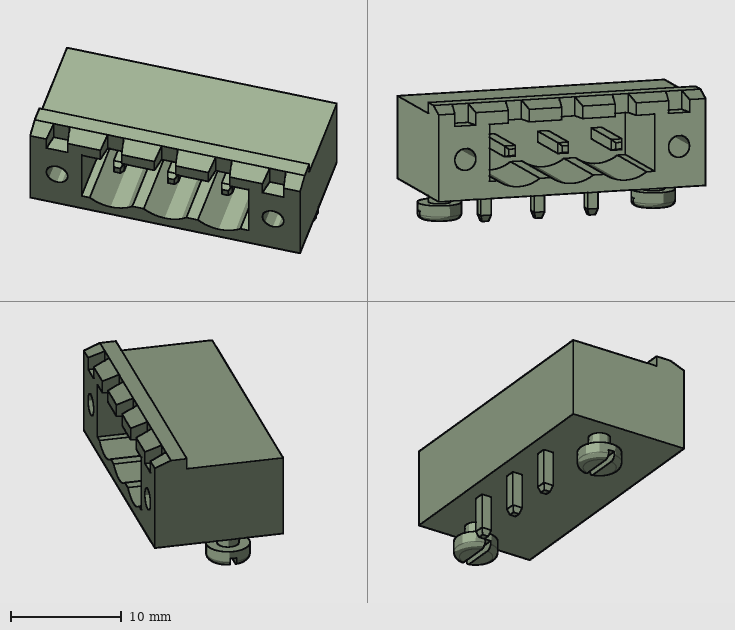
import cadquery as cq
import math


pitch = 5.08
pin_count = 3
end_margin = 2.54
length = (pin_count + 1) * pitch + 2 * end_margin
pin_row_start = -(pin_count - 1) * pitch / 2
pin_positions = [pin_row_start + i * pitch for i in range(pin_count)]
screw_positions = [pin_row_start - pitch, -(pin_row_start - pitch)]
notch_positions = pin_positions + screw_positions

depth = 12.0
back_height = 7.6
rim_height = 8.6
rim_depth = 3.0
slope_depth = 1.5
front_height = 8.0

cavity_width = 15.7
cavity_depth = 8.5
cavity_ceiling = 6.85
cavity_floor = 1.6
scallop_chord = 4.0
scallop_drop = 0.65

notch_front_width = 2.0
notch_back_width = 1.5

pin_size = 1.0
pin_tip_size = 0.6
pin_taper = 0.6
pin_y = 10.0
pin_axis_height = 3.75
pin_tip_y = 2.0
pin_tail_length = 4.0

hole_diameter = 2.0
hole_depth = 8.0

screw_y = 7.5
shank_diameter = 2.0
head_diameter = 4.0
head_height = 1.5
head_gap = 1.5
head_fillet = 0.5
slot_width = 0.6
slot_depth = 0.8


def make_housing():
    """Box with a raised front rim that slopes down to the front face."""
    return (
        cq.Workplane("YZ", origin=(-length / 2, 0, 0))
        .polyline([
            (0, 0),
            (depth, 0),
            (depth, back_height),
            (rim_depth, back_height),
            (rim_depth, rim_height),
            (slope_depth, rim_height),
            (0, front_height),
        ])
        .close()
        .extrude(length)
    )


def make_cavity():
    """Rectangular mating cavity with one shallow scallop in the floor below each pin."""
    half_width = cavity_width / 2
    half_chord = scallop_chord / 2
    outline = (
        cq.Workplane("XZ")
        .moveTo(-half_width, cavity_ceiling)
        .lineTo(-half_width, cavity_floor)
    )
    for x in pin_positions:
        outline = outline.lineTo(x - half_chord, cavity_floor).threePointArc(
            (x, cavity_floor - scallop_drop), (x + half_chord, cavity_floor)
        )
    return (
        outline.lineTo(half_width, cavity_floor)
        .lineTo(half_width, cavity_ceiling)
        .close()
        .extrude(-cavity_depth)
    )


def make_notch(x):
    """Notch through the sloped rim, narrowing toward the back."""
    half_front = notch_front_width / 2
    half_back = notch_back_width / 2
    return (
        cq.Workplane("XY", origin=(x, 0, cavity_ceiling))
        .polyline([
            (-half_front, 0),
            (half_front, 0),
            (half_back, slope_depth),
            (-half_back, slope_depth),
        ])
        .close()
        .extrude(rim_height - cavity_ceiling)
    )


def make_front_hole(x):
    """Blind round hole entering the front face."""
    return (
        cq.Workplane("XZ", origin=(x, 0, pin_axis_height))
        .circle(hole_diameter / 2)
        .extrude(-hole_depth)
    )


def make_pin_leg(start, direction, leg_length):
    """Square bar from start along direction, ending in a tapered tip."""
    taper_angle = math.degrees(math.atan2((pin_size - pin_tip_size) / 2, pin_taper))
    plane = cq.Plane(origin=start, xDir=(1, 0, 0), normal=direction)
    shaft = cq.Workplane(plane).rect(pin_size, pin_size).extrude(leg_length - pin_taper)
    tip = (
        cq.Workplane(plane)
        .workplane(offset=leg_length - pin_taper)
        .rect(pin_size, pin_size)
        .extrude(pin_taper, taper=taper_angle)
    )
    return shaft.union(tip)


def make_pin(x):
    """Right-angle pin: a contact leg toward the front and a tail below the housing."""
    corner = (x, pin_y, pin_axis_height)
    contact = make_pin_leg(corner, (0, -1, 0), pin_y - pin_tip_y)
    tail = make_pin_leg(corner, (0, 0, -1), pin_axis_height + pin_tail_length)
    return contact.union(tail)


def make_screw(x):
    """Slotted round-edged screw hanging from the housing underside."""
    head_bottom = -head_gap - head_height
    shank = cq.Workplane("XY", origin=(x, screw_y, -head_gap)).circle(shank_diameter / 2).extrude(head_gap)
    head = (
        cq.Workplane("XY", origin=(x, screw_y, head_bottom))
        .circle(head_diameter / 2)
        .extrude(head_height)
        .faces("<Z")
        .edges()
        .fillet(head_fillet)
    )
    slot = cq.Workplane("XY", origin=(x, screw_y, head_bottom)).rect(head_diameter, slot_width).extrude(slot_depth)
    return shank.union(head.cut(slot))


result = make_housing().cut(make_cavity())
for notch_x in notch_positions:
    result = result.cut(make_notch(notch_x))
for pin_x in pin_positions:
    result = result.union(make_pin(pin_x))
for screw_x in screw_positions:
    result = result.cut(make_front_hole(screw_x))
    result = result.union(make_screw(screw_x))